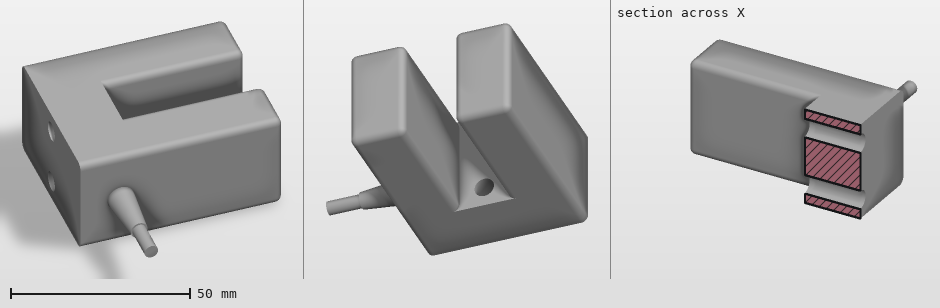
import cadquery as cq

body_width = 48.0
body_length = 60.0
body_height = 30.0
edge_radius = 2.0

slot_width = 15.0
base_thickness = 18.0

hole_diameter = 5.8
hole_spacing = 18.0

cable_y = 12.0
relief_length = 15.0
relief_root_diameter = 8.0
relief_tip_diameter = 5.0
cable_diameter = 4.0
cable_length = 10.0


def make_body():
    """Fork body with every edge rounded except the mounting face and slot floor edges."""
    block = cq.Workplane("XY").box(
        body_width, body_length, body_height, centered=(True, False, True)
    )
    slot = (
        cq.Workplane("XY")
        .box(slot_width, body_length, body_height, centered=(True, False, True))
        .translate((0, base_thickness, 0))
    )
    fork = block.cut(slot)
    finger_end_edges = fork.faces(">Y").edges()
    long_edges = fork.edges("|Y")
    return fork.newObject(finger_end_edges.vals() + long_edges.vals()).fillet(edge_radius)


def make_mounting_holes():
    """Two cylinders running from the mounting face into the slot."""
    return (
        cq.Workplane("XZ")
        .pushPoints([(0, -hole_spacing / 2), (0, hole_spacing / 2)])
        .circle(hole_diameter / 2)
        .extrude(-base_thickness)
    )


def make_cable():
    """Tapered strain relief and cable stub, turned about an axis parallel to X."""
    root_x = body_width / 2
    tip_x = root_x + relief_length
    end_x = tip_x + cable_length
    return (
        cq.Workplane("XY", origin=(0, cable_y, 0))
        .moveTo(root_x, 0)
        .lineTo(root_x, relief_root_diameter / 2)
        .lineTo(tip_x, relief_tip_diameter / 2)
        .lineTo(tip_x, cable_diameter / 2)
        .lineTo(end_x, cable_diameter / 2)
        .lineTo(end_x, 0)
        .close()
        .revolve(360, (0, 0, 0), (1, 0, 0))
    )


result = make_body().cut(make_mounting_holes()).union(make_cable())